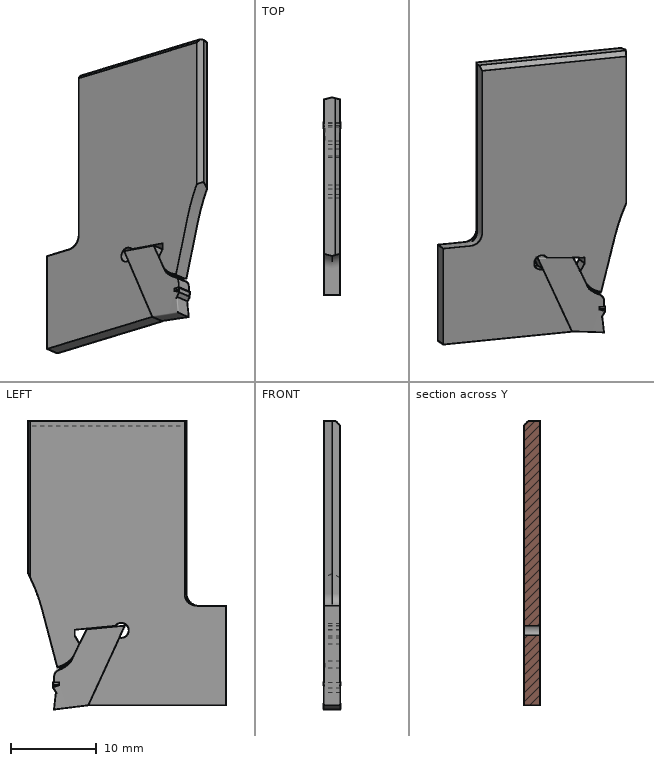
import cadquery as cq
import math


blade_thickness = 1.9
blade_height = 33.16
blade_length = 23.07
shank_rear = 4.58
foot_height = 11.6
foot_fillet = 1.4
guide_angle = 15.0
guide_depth = blade_thickness / 2 * math.tan(math.radians(guide_angle))
top_chamfer = 0.55

cut_margin = 1.0

relief_top = (blade_length, 15.4)
relief_middle = (22.27, 13.65)
relief_tangent = (21.45, 11.2)
nose = (19.65, 4.36)

seat_bottom = (16.05, 0.0)
seat_angle = 65.3
seat_slope = math.tan(math.radians(seat_angle))
clearance_angle = 7.1
clearance_slope = math.tan(math.radians(clearance_angle))
corner_relief_center = (12.21, 8.74)
corner_relief_radius = 0.86
pocket_roof_gap = 0.05
jaw_grip_top = (17.07, 7.2)
jaw_grip_bottom = (18.02, 5.22)
jaw_nose_middle = (18.75, 4.67)
jaw_bevel = 0.13
pocket_front = 17.62
pocket_front_bottom = 8.12

insert_thickness = blade_thickness
sharp_cutting_width = 2.012
insert_top_rear_z = 9.31
insert_top_rear = (seat_bottom[0] - insert_top_rear_z / seat_slope, insert_top_rear_z)
insert_top_angle = 5.5
top_slope = math.tan(math.radians(insert_top_angle))
insert_top_front_y = 16.24
insert_top_drop = (insert_top_front_y - insert_top_rear[0]) * top_slope
insert_top_front = (insert_top_front_y, insert_top_rear_z - insert_top_drop)
tip_y = 20.06
tip = (tip_y, -(tip_y - seat_bottom[0]) * clearance_slope)
corner_radius = 0.12

rake_root = (19.83, 1.55)
lip_front = 20.16
lip_top = 2.67
lip_bottom = 2.05
neck_front = 20.05
neck_arc_bottom = (neck_front, 3.35)
neck_arc_middle = (19.87, 3.85)
neck_arc_top = (19.55, 4.12)
throat_middle = (18.7, 4.55)

relief_line_top = (19.43, 2.35)
relief_line_bottom = (18.57, -0.2)

pad_width = 2.0
pad_rear = 19.43
pad_rear_bottom = 2.45
pad_front_bottom = 2.35


def plate(sketch, thickness):
    """Extrude a closed YZ outline evenly to both sides of X = 0."""
    return sketch.close().extrude(thickness / 2, both=True)


def roof_z(y):
    """Height of the pocket roof, parallel to the top of the insert."""
    return insert_top_rear[1] + pocket_roof_gap - (y - insert_top_rear[0]) * top_slope


def guide_cutter(edge_y, into_blade, side):
    """Wedge that slopes a guide edge from the middle plane to one side face."""
    half = blade_thickness / 2
    inner_y = edge_y + into_blade * guide_depth
    return (
        cq.Workplane("XY")
        .workplane(offset=foot_height)
        .polyline([(0, edge_y), (side * half, edge_y), (side * half, inner_y)])
        .close()
        .extrude(blade_height - foot_height)
    )


def make_blank():
    """Blade outline with V guide edges, the foot fillet and the top chamfer."""
    blank = plate(
        cq.Workplane("YZ")
        .moveTo(0, 0)
        .lineTo(0, foot_height)
        .lineTo(shank_rear, foot_height)
        .lineTo(shank_rear, blade_height)
        .lineTo(blade_length, blade_height)
        .lineTo(blade_length, 0),
        blade_thickness,
    )
    for side in (-1, 1):
        blank = blank.cut(guide_cutter(shank_rear, 1, side))
        blank = blank.cut(guide_cutter(blade_length, -1, side))
    foot_corner = cq.selectors.BoxSelector(
        (-blade_thickness, shank_rear - guide_depth, foot_height - guide_depth),
        (blade_thickness, shank_rear + 2 * guide_depth, foot_height + guide_depth),
    )
    blank = blank.edges(foot_corner).fillet(foot_fillet)
    return blank.faces(">Z").edges(">X").chamfer(top_chamfer)


def make_front_relief():
    """Material removed ahead of the curved and sloping blade front."""
    ahead = blade_length + cut_margin
    return plate(
        cq.Workplane("YZ")
        .moveTo(*relief_top)
        .threePointArc(relief_middle, relief_tangent)
        .lineTo(*nose)
        .lineTo(nose[0], -cut_margin)
        .lineTo(ahead, -cut_margin)
        .lineTo(ahead, relief_top[1]),
        2 * blade_thickness,
    )


def make_pocket():
    """Open slot for the insert, with a round relief at its inner corner."""
    slot = plate(
        cq.Workplane("YZ")
        .moveTo(*seat_bottom)
        .lineTo(*insert_top_rear)
        .lineTo(insert_top_rear[0], roof_z(insert_top_rear[0]))
        .lineTo(pocket_front, roof_z(pocket_front))
        .lineTo(pocket_front, pocket_front_bottom)
        .lineTo(*jaw_grip_top)
        .lineTo(*jaw_grip_bottom)
        .threePointArc(jaw_nose_middle, nose)
        .lineTo(nose[0], seat_bottom[1]),
        2 * blade_thickness,
    )
    corner_relief = (
        cq.Workplane("YZ")
        .center(*corner_relief_center)
        .circle(corner_relief_radius)
        .extrude(blade_thickness, both=True)
    )
    return slot, corner_relief


def insert_outline():
    """Side outline of the insert, from the seat round to the cutting tip."""
    return (
        cq.Workplane("YZ")
        .moveTo(*seat_bottom)
        .lineTo(*insert_top_rear)
        .lineTo(*insert_top_front)
        .lineTo(*jaw_grip_top)
        .lineTo(*jaw_grip_bottom)
        .threePointArc(throat_middle, neck_arc_top)
        .threePointArc(neck_arc_middle, neck_arc_bottom)
        .lineTo(neck_front, lip_top)
        .lineTo(lip_front, lip_top)
        .lineTo(lip_front, lip_bottom)
        .lineTo(*rake_root)
        .lineTo(*tip)
    )


def make_head_relief():
    """Bar that widens from the relief line to the cutting width at the tip."""
    line_y = relief_line_bottom[0] - relief_line_top[0]
    line_z = relief_line_bottom[1] - relief_line_top[1]
    line_length = math.hypot(line_y, line_z)
    ahead_y = -line_z / line_length
    ahead_z = line_y / line_length
    reach = (tip[0] - relief_line_top[0]) * ahead_y + (tip[1] - relief_line_top[1]) * ahead_z
    along_line = cq.Plane(
        origin=(0, *relief_line_top),
        xDir=(0, ahead_y, ahead_z),
        normal=(0, line_y, line_z),
    )
    rear = insert_thickness / 2
    front = sharp_cutting_width / 2
    return (
        cq.Workplane(along_line)
        .polyline([(0, -rear), (reach, -front), (reach, front), (0, rear)])
        .close()
        .extrude(2 * line_length)
    )


def side_edges(start, end):
    """Selector for the two side edges along one straight or curved stretch of an outline."""
    margin = 0.05
    low_y, high_y = sorted((start[0], end[0]))
    low_z, high_z = sorted((start[1], end[1]))
    boxes = [
        cq.selectors.BoxSelector(
            (side * insert_thickness / 4, low_y - margin, low_z - margin),
            (side * sharp_cutting_width, high_y + margin, high_z + margin),
        )
        for side in (-1, 1)
    ]
    return boxes[0] + boxes[1]


def make_insert():
    """Insert core, the wider cutting head at its tip and the pads beside its lip."""
    top_edges = side_edges(insert_top_rear, insert_top_front)
    bottom_edges = side_edges(seat_bottom, tip)
    rake_edges = side_edges(rake_root, tip)
    core = plate(insert_outline(), insert_thickness)
    core = core.edges(top_edges + bottom_edges + rake_edges).fillet(corner_radius)
    head = plate(insert_outline(), sharp_cutting_width).intersect(make_head_relief())
    head = head.edges(bottom_edges + rake_edges).fillet(corner_radius)
    pads = plate(
        cq.Workplane("YZ")
        .moveTo(pad_rear, lip_top)
        .lineTo(lip_front, lip_top)
        .lineTo(lip_front, pad_front_bottom)
        .lineTo(pad_rear, pad_rear_bottom),
        pad_width,
    )
    return core.union(head).union(pads)


slot, corner_relief = make_pocket()
blade = make_blank().cut(make_front_relief()).cut(slot).cut(corner_relief)
blade = blade.edges(side_edges(jaw_grip_bottom, nose)).chamfer(jaw_bevel)
insert = make_insert()

result = cq.Compound.makeCompound([blade.val(), insert.val()])